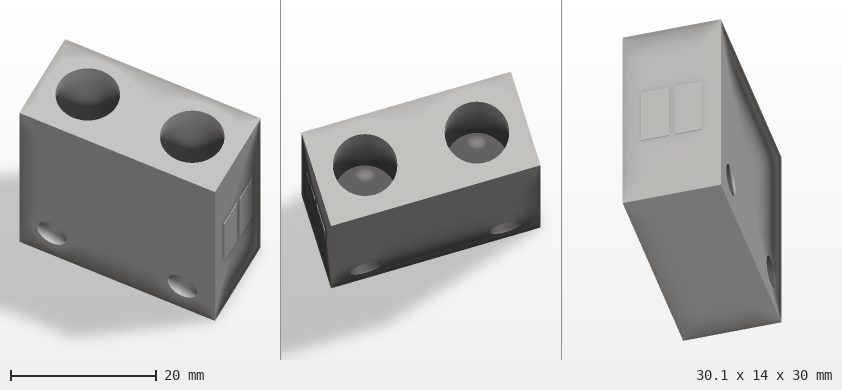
import cadquery as cq

length = 30.0
width = 14.0
height = 30.0

overall_length = 30.1
pad_thickness = overall_length - length
pad_width = 3.95
pad_height = 8.67
pad_gap = 0.78
pad_spacing = pad_width + pad_gap

port_diameter = 8.85
port_spacing = 16.0
port_depth = 15.05

mount_diameter = 4.5
mount_spacing = 20.0
mount_height = 5.0

block = cq.Workplane("XY").box(length, width, height, centered=False)

pads = (
    cq.Workplane("YZ", origin=(length, width / 2, height / 2))
    .pushPoints([(-pad_spacing / 2, 0), (pad_spacing / 2, 0)])
    .rect(pad_width, pad_height)
    .extrude(pad_thickness)
)

ports = (
    cq.Workplane("XY", origin=(length / 2, width / 2, height))
    .pushPoints([(-port_spacing / 2, 0), (port_spacing / 2, 0)])
    .circle(port_diameter / 2)
    .extrude(-port_depth)
)

mounts = (
    cq.Workplane("XZ", origin=(length / 2, 0, mount_height))
    .pushPoints([(-mount_spacing / 2, 0), (mount_spacing / 2, 0)])
    .circle(mount_diameter / 2)
    .extrude(-width)
)

result = block.union(pads).cut(ports).cut(mounts)